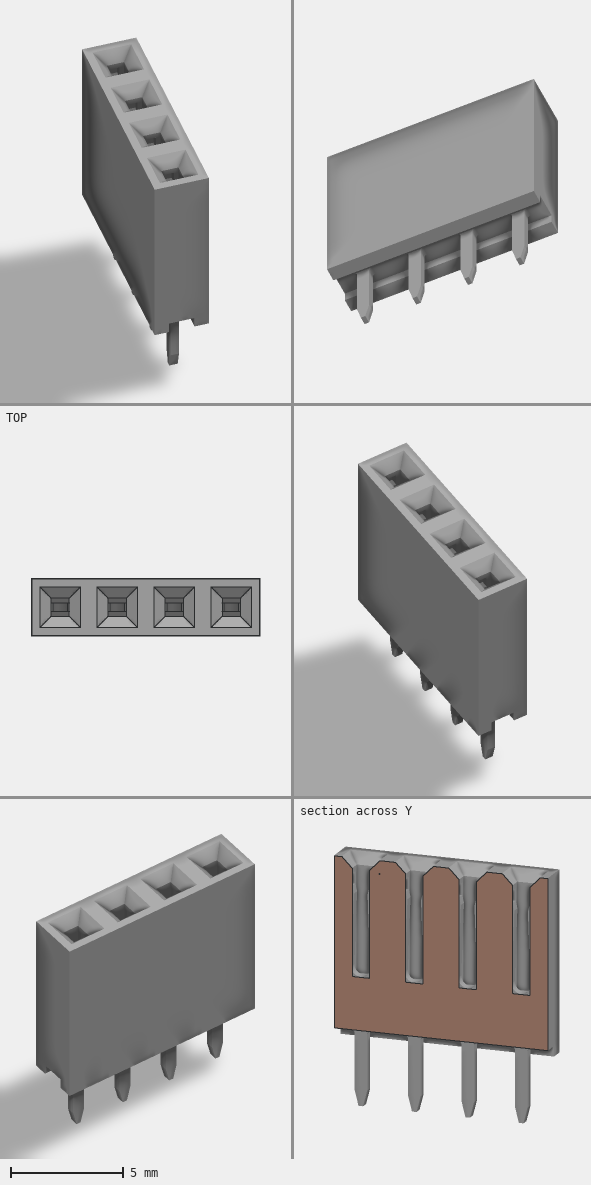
import cadquery as cq
import math


pin_count = 4
housing_depth = 2.54
housing_length = 10.15
housing_height = 8.5
pitch = housing_length / pin_count

channel_width = 1.2
channel_height = 0.5

mouth_size = 1.8
bore_size = 0.8
funnel_depth = (mouth_size - bore_size) / 2
bore_floor_z = 2.99
funnel_bottom_z = housing_height - funnel_depth

blade_thickness = 0.39
blade_width = 1.5
slot_drop = 0.25
slot_top_z = funnel_bottom_z - slot_drop
prong_drop = 0.58
prong_top_z = slot_top_z - prong_drop
throat_gap = 0.64
throat_drop = 0.35
throat_z = prong_top_z - throat_drop
fork_radius = 0.45
fork_centre_z = bore_floor_z + fork_radius

overall_height = 11.5
tail_length = overall_height - housing_height
tail_width = 0.6
tip_width = 0.22
tip_length = 0.75
root_radius = 0.13


def make_housing():
    """Plain block with the channel cut along its underside."""
    block = cq.Workplane("XY").box(
        housing_length, housing_depth, housing_height, centered=(True, True, False)
    )
    channel = cq.Workplane("XY").box(
        housing_length, channel_width, channel_height, centered=(True, True, False)
    )
    return block.cut(channel)


def make_socket():
    """Void of one socket: tapered mouth, square bore and the slot for the blade."""
    funnel = (
        cq.Workplane("XY", origin=(0, 0, housing_height))
        .rect(mouth_size, mouth_size)
        .workplane(offset=-funnel_depth)
        .rect(bore_size, bore_size)
        .loft(ruled=True)
    )
    bore = (
        cq.Workplane("XY", origin=(0, 0, bore_floor_z))
        .rect(bore_size, bore_size)
        .extrude(funnel_bottom_z - bore_floor_z)
    )
    slot = (
        cq.Workplane("XY", origin=(0, 0, channel_height))
        .rect(blade_width, blade_thickness)
        .extrude(slot_top_z - channel_height)
    )
    return funnel.union(bore).union(slot)


def make_contact():
    """Flat contact: a two-pronged fork above, a pointed pin tail below."""
    half_blade = blade_width / 2
    half_bore = bore_size / 2
    half_throat = throat_gap / 2
    half_tail = tail_width / 2
    half_tip = tip_width / 2
    root_x = half_tail + root_radius
    root_z = channel_height - root_radius
    root_mid = root_radius * math.sqrt(0.5)

    outline = (
        cq.Workplane("XZ")
        .moveTo(half_blade, channel_height)
        .lineTo(half_blade, prong_top_z)
        .lineTo(half_bore, prong_top_z)
        .lineTo(half_throat, throat_z)
        .lineTo(fork_radius, fork_centre_z)
        .threePointArc((0, bore_floor_z), (-fork_radius, fork_centre_z))
        .lineTo(-half_throat, throat_z)
        .lineTo(-half_bore, prong_top_z)
        .lineTo(-half_blade, prong_top_z)
        .lineTo(-half_blade, channel_height)
        .lineTo(-root_x, channel_height)
        .threePointArc((-root_x + root_mid, root_z + root_mid), (-half_tail, root_z))
        .lineTo(-half_tail, tip_length - tail_length)
        .lineTo(-half_tip, -tail_length)
        .lineTo(half_tip, -tail_length)
        .lineTo(half_tail, tip_length - tail_length)
        .lineTo(half_tail, root_z)
        .threePointArc((root_x - root_mid, root_z + root_mid), (root_x, channel_height))
        .close()
    )
    return outline.extrude(blade_thickness / 2, both=True)


socket = make_socket()
contact = make_contact()
result = make_housing()
for index in range(pin_count):
    position = ((index - (pin_count - 1) / 2) * pitch, 0, 0)
    result = result.cut(socket.translate(position)).union(contact.translate(position))